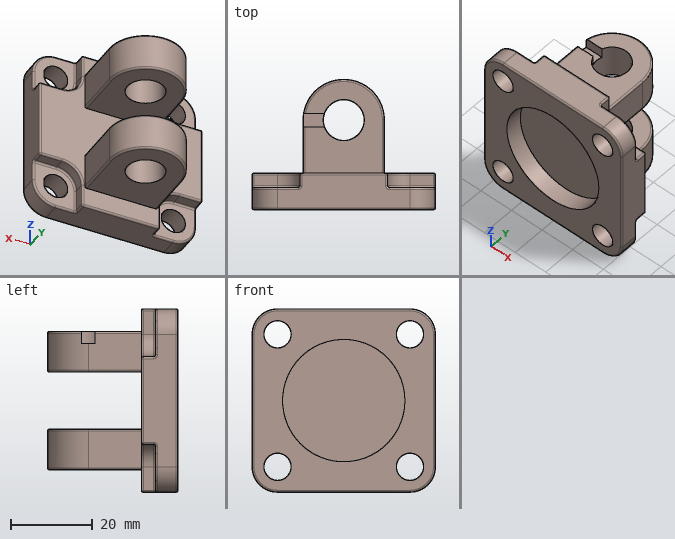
import cadquery as cq

plate_side = 45.0
plate_thickness = 9.0
corner_radius = 6.25
edge_round = 0.5

bolt_hole_diameter = 6.6
bolt_offset = plate_side / 2 - corner_radius
bolt_centres = [(x, z) for x in (-bolt_offset, bolt_offset) for z in (-bolt_offset, bolt_offset)]

pocket_radius = 5.5
pocket_depth = 3.5

recess_diameter = 30.0
recess_depth = 5.0

overall_depth = 32.0
lug_width = 20.0
lug_thickness = 10.0
lug_gap = 14.0
pin_hole_diameter = 10.0
pin_centre_y = overall_depth - lug_width / 2

notch_width = 3.3
notch_depth = 3.0

tolerance = 0.005


def front_sketch():
    """Sketch plane on the front face, extruding toward +Y, with its local y along -Z."""
    return cq.Workplane("XZ").transformed(rotate=(180, 0, 0))


def corner_pocket(x, z):
    """Bolt-head pocket with a round inner corner, open through both sides of the plate corner."""
    reach = corner_radius + pocket_radius
    centre_shift = reach / 2 - pocket_radius
    centre_x = x + (centre_shift if x > 0 else -centre_shift)
    centre_z = z + (centre_shift if z > 0 else -centre_shift)
    block = cq.Workplane("XY").box(reach, pocket_depth, reach)
    inner_edge = ("<X" if x > 0 else ">X") + " and " + ("<Z" if z > 0 else ">Z")
    block = block.edges("|Y").edges(inner_edge).fillet(pocket_radius)
    return block.translate((centre_x, plate_thickness - pocket_depth / 2, centre_z))


def is_sharp(edge):
    """False for the straight lines along Y where a flat wall runs smoothly into a round one."""
    spot = edge.Center()
    along_y = edge.BoundingBox().ylen > edge.Length() - tolerance
    beside_bolt = min(abs(abs(spot.x) - bolt_offset), abs(abs(spot.z) - bolt_offset)) < tolerance
    return not (along_y and beside_bolt)


def flange_plate():
    """Rounded plate with bolt holes, bolt-head pockets and a front recess."""
    plate = front_sketch().rect(plate_side, plate_side).extrude(plate_thickness)
    plate = plate.edges("|Y").fillet(corner_radius)
    for x, z in bolt_centres:
        plate = plate.cut(corner_pocket(x, z))
    plate = plate.edges().filter(is_sharp).fillet(edge_round)
    bolt_holes = (
        front_sketch()
        .pushPoints(bolt_centres)
        .circle(bolt_hole_diameter / 2)
        .extrude(plate_thickness)
    )
    recess = front_sketch().circle(recess_diameter / 2).extrude(recess_depth)
    return plate.cut(bolt_holes).cut(recess)


def lug(bottom_z):
    """Round-ended lug with a vertical pin hole and rounded top and bottom rims."""
    half_width = lug_width / 2
    return (
        cq.Workplane("XY", origin=(0, 0, bottom_z))
        .moveTo(-half_width, plate_thickness)
        .lineTo(-half_width, pin_centre_y)
        .threePointArc((0, overall_depth), (half_width, pin_centre_y))
        .lineTo(half_width, plate_thickness)
        .close()
        .extrude(lug_thickness)
        .faces("|Z")
        .edges("not <Y")
        .fillet(edge_round)
        .faces(">Z")
        .workplane(origin=(0, pin_centre_y, 0))
        .hole(pin_hole_diameter)
    )


def notch():
    """Block removed from the top of the upper lug, from its -X side to the pin axis."""
    top_z = lug_gap / 2 + lug_thickness
    return (
        cq.Workplane("XY", origin=(0, pin_centre_y, top_z - notch_depth))
        .box(lug_width / 2, notch_width, notch_depth, centered=(False, True, False))
        .translate((-lug_width / 2, 0, 0))
    )


upper_lug = lug(lug_gap / 2).cut(notch())
lower_lug = lug(-lug_gap / 2 - lug_thickness)
result = flange_plate().union(upper_lug).union(lower_lug)